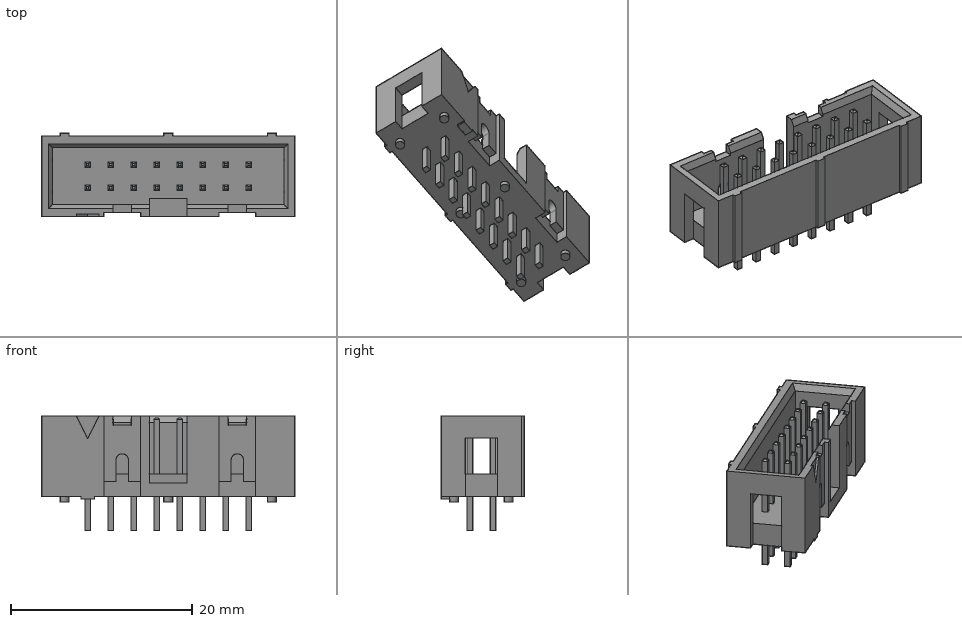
import cadquery as cq

BODY_LENGTH = 27.94
BODY_WIDTH = 8.9
BODY_HEIGHT = 8.9
FRONT_Y = -BODY_WIDTH / 2
BACK_Y = BODY_WIDTH / 2

FLOOR_Z = 2.5
CAVITY_LENGTH = 25.54
CAVITY_WIDTH = 6.3
MOUTH_LENGTH = 26.42
MOUTH_WIDTH = 7.12
MOUTH_DEPTH = 0.74
FRONT_WALL = (BODY_WIDTH - CAVITY_WIDTH) / 2
END_WALL = (BODY_LENGTH - CAVITY_LENGTH) / 2

PITCH = 2.54
PINS_PER_ROW = 8
ROWS = 2
PIN_SIZE = 0.64
PIN_TIP_CHAMFER = 0.2
PIN_TOP_Z = 8.7
PIN_BOTTOM_Z = -3.75
FIRST_PIN_X = -(PINS_PER_ROW - 1) * PITCH / 2
FIRST_ROW_Y = -(ROWS - 1) * PITCH / 2

KEY_WIDTH = 4.14
KEY_DEPTH = 2.0
KEY_FLOOR_Z = 1.52

RECESS_CENTERS_X = (-2 * PITCH, 3 * PITCH)
RECESS_WIDTH = 4.04
RECESS_DEPTH = 0.44
UNDERCUT_TOP_Z = 1.68
LATCH_SLOT_WIDTH = 1.36
LATCH_SLOT_TOP_Z = 4.73
NOTCH_WIDTH = 2.04
NOTCH_DEPTH = 1.0

END_SLOT_WIDTH = 3.54
END_SLOT_TOP_Z = 6.45

SUPPORT_SPACING = 11.43
RIB_WIDTH = 1.0
RIB_DEPTH = 0.3
PEG_DIAMETER = 1.0
PEG_HEIGHT = 0.6
PEG_Y = 3.0

MARK_WIDTH = 2.5
MARK_HEIGHT = 2.5
MARK_DEPTH = 0.25
TAB_WIDTH = 1.52
TAB_LENGTH = 0.95
TAB_HEIGHT = 0.26


def box(x_center, width, y_min, y_max, z_min, z_max):
    """Axis-aligned block centred on x_center."""
    length = y_max - y_min
    height = z_max - z_min
    block = cq.Workplane("XY").box(width, length, height, centered=(True, False, False))
    return block.translate((x_center, y_min, z_min))


def make_cavity():
    well = box(0, CAVITY_LENGTH, -CAVITY_WIDTH / 2, CAVITY_WIDTH / 2, FLOOR_Z, BODY_HEIGHT)
    mouth = (
        cq.Workplane("XY", origin=(0, 0, BODY_HEIGHT - MOUTH_DEPTH))
        .rect(CAVITY_LENGTH, CAVITY_WIDTH)
        .workplane(offset=MOUTH_DEPTH)
        .rect(MOUTH_LENGTH, MOUTH_WIDTH)
        .loft(ruled=True)
    )
    return well.union(mouth)


def make_keyway():
    return box(0, KEY_WIDTH, FRONT_Y, FRONT_Y + KEY_DEPTH, KEY_FLOOR_Z, BODY_HEIGHT)


def make_front_recess(x):
    wall_inner_y = FRONT_Y + FRONT_WALL
    panel = box(x, RECESS_WIDTH, FRONT_Y, FRONT_Y + RECESS_DEPTH, 0, BODY_HEIGHT)
    undercut = box(x, RECESS_WIDTH, FRONT_Y, wall_inner_y, 0, UNDERCUT_TOP_Z)
    notch = box(x, NOTCH_WIDTH, FRONT_Y, wall_inner_y, BODY_HEIGHT - NOTCH_DEPTH, BODY_HEIGHT)
    half_slot = LATCH_SLOT_WIDTH / 2
    arc_start_z = LATCH_SLOT_TOP_Z - half_slot
    latch_slot = (
        cq.Workplane("XZ", origin=(x, FRONT_Y, 0))
        .moveTo(-half_slot, 0)
        .lineTo(half_slot, 0)
        .lineTo(half_slot, arc_start_z)
        .threePointArc((0, LATCH_SLOT_TOP_Z), (-half_slot, arc_start_z))
        .close()
        .extrude(-FRONT_WALL)
    )
    return panel.union(undercut).union(latch_slot).union(notch)


def make_end_slot(side):
    x = side * (BODY_LENGTH - END_WALL) / 2
    return box(x, END_WALL, -END_SLOT_WIDTH / 2, END_SLOT_WIDTH / 2, 0, END_SLOT_TOP_Z)


def make_triangle_mark():
    return (
        cq.Workplane("XZ", origin=(FIRST_PIN_X, FRONT_Y, BODY_HEIGHT))
        .polyline([(-MARK_WIDTH / 2, 0), (MARK_WIDTH / 2, 0), (0, -MARK_HEIGHT)])
        .close()
        .extrude(-MARK_DEPTH)
    )


def make_supports(x):
    """Full-height back rib with a front and a back peg at the same X."""
    rib = box(x, RIB_WIDTH, BACK_Y, BACK_Y + RIB_DEPTH, 0, BODY_HEIGHT)
    pegs = (
        cq.Workplane("XY")
        .pushPoints([(x, -PEG_Y), (x, PEG_Y)])
        .circle(PEG_DIAMETER / 2)
        .extrude(-PEG_HEIGHT)
    )
    return rib.union(pegs)


def make_first_pin_tab():
    return box(FIRST_PIN_X, TAB_WIDTH, FRONT_Y, FRONT_Y + TAB_LENGTH, -TAB_HEIGHT, 0)


def make_pin(x, y):
    pin = box(x, PIN_SIZE, y - PIN_SIZE / 2, y + PIN_SIZE / 2, PIN_BOTTOM_Z, PIN_TOP_Z)
    return pin.faces(">Z").chamfer(PIN_TIP_CHAMFER)


result = box(0, BODY_LENGTH, FRONT_Y, BACK_Y, 0, BODY_HEIGHT)
result = result.cut(make_cavity())
result = result.cut(make_keyway())
result = result.cut(make_triangle_mark())
for recess_x in RECESS_CENTERS_X:
    result = result.cut(make_front_recess(recess_x))
for end_side in (-1, 1):
    result = result.cut(make_end_slot(end_side))
for support_x in (-SUPPORT_SPACING, 0, SUPPORT_SPACING):
    result = result.union(make_supports(support_x))
result = result.union(make_first_pin_tab())
for row in range(ROWS):
    for column in range(PINS_PER_ROW):
        result = result.union(make_pin(FIRST_PIN_X + column * PITCH, FIRST_ROW_Y + row * PITCH))